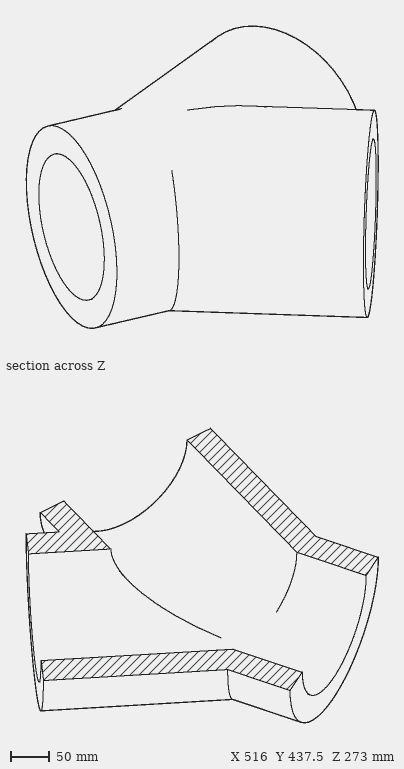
import cadquery as cq
import math

outer_diameter = 273.0
bore_diameter = 197.0
overall_width = 516.0
overall_depth = 437.5
branch_angle = 30.0

outer_radius = outer_diameter / 2
sin_branch = math.sin(math.radians(branch_angle))
cos_branch = math.cos(math.radians(branch_angle))
branch_length = (overall_width / 2 - outer_radius * cos_branch) / sin_branch
inlet_length = overall_depth - branch_length * cos_branch - outer_radius * sin_branch

miter_slope = math.tan(math.radians(branch_angle / 2))
reach = overall_width
miter_drop = reach * miter_slope


def pipe_rod(radius, direction, length):
    """Solid rod from the far side of the junction out to one pipe end."""
    x, y = direction
    start = cq.Vector(-x * outer_diameter, -y * outer_diameter, 0)
    axis = cq.Vector(x, y, 0)
    return cq.Workplane(cq.Solid.makeCylinder(radius, length + outer_diameter, start, axis))


def trim_prism(points):
    """Prism in Z that keeps one pipe's share of the junction."""
    return cq.Workplane("XY").polyline(points).close().extrude(outer_diameter, both=True)


def y_body(radius):
    """Three rods of one radius, joined along their miter planes."""
    inlet_zone = trim_prism(
        [(0, 0), (reach, -miter_drop), (reach, -reach), (-reach, -reach), (-reach, -miter_drop)]
    )
    body = pipe_rod(radius, (0, -1), inlet_length).intersect(inlet_zone)
    for side in (-1, 1):
        branch_zone = trim_prism(
            [(0, 0), (side * reach, -miter_drop), (side * reach, reach), (0, reach)]
        )
        branch = pipe_rod(radius, (side * sin_branch, cos_branch), branch_length)
        body = body.union(branch.intersect(branch_zone))
    return body


result = y_body(outer_radius).cut(y_body(bore_diameter / 2))